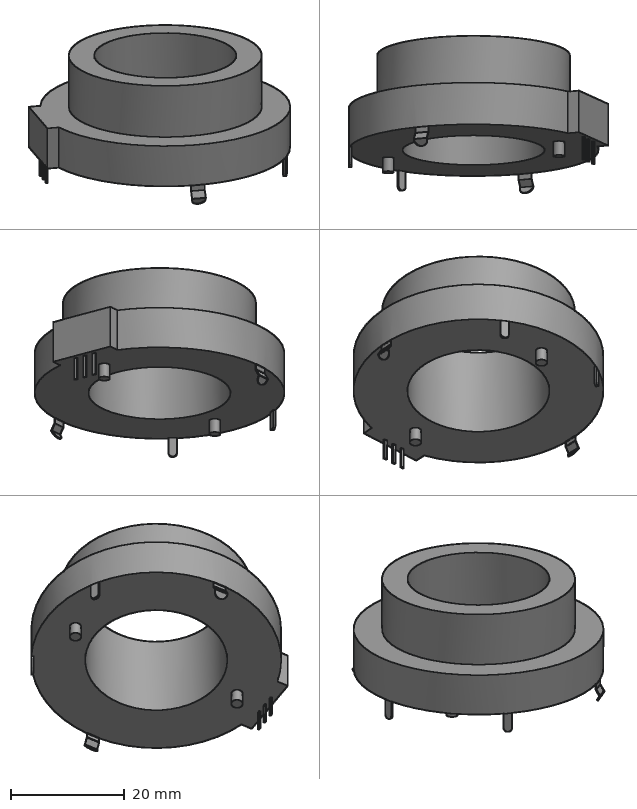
import cadquery as cq
import math

base_diameter = 44.0
base_height = 7.5
collar_diameter = 34.0
collar_height = 9.5
bore_diameter = 25.0
key_width = 12.5
key_front_y = -23.2

peg_diameter = 2.0
peg_length = 2.5
peg_circle_radius = 16.5

pin_width = 0.6
pin_thickness = 0.3
pin_length = 4.0
pin_pitch = 2.0
pin_count = 3
pin_setback = 1.0

leg_length = 3.5
clip_width = 2.5
clip_thickness = 0.2
clip_reach = 0.75
clip_straight = 1.0
clip_corner_radius = 1.2
clip_angles = (0, 180)

tab_width = 1.5
tab_thickness = 0.4
tab_corner_radius = 0.7
tab_angles = (60, 120)

base_radius = base_diameter / 2
total_height = base_height + collar_height


def make_housing():
    """Base disc with a square front key, a raised collar and a through bore."""
    base = cq.Workplane("XY").circle(base_radius).extrude(base_height)
    key_depth = -key_front_y
    key = (
        cq.Workplane("XY")
        .center(0, -key_depth / 2)
        .rect(key_width, key_depth)
        .extrude(base_height)
    )
    collar = cq.Workplane("XY").circle(collar_diameter / 2).extrude(total_height)
    bore = cq.Workplane("XY").circle(bore_diameter / 2).extrude(total_height)
    return base.union(key).union(collar).cut(bore)


def make_pegs():
    """Two round pegs on the Y axis, one on each side of the bore."""
    return (
        cq.Workplane("XY")
        .pushPoints([(0, peg_circle_radius), (0, -peg_circle_radius)])
        .circle(peg_diameter / 2)
        .extrude(-peg_length)
    )


def make_pins():
    """Row of flat terminal pins along the front key."""
    return (
        cq.Workplane("XY")
        .center(0, key_front_y + pin_setback)
        .rarray(pin_pitch, 1, pin_count, 1)
        .rect(pin_width, pin_thickness)
        .extrude(-pin_length)
    )


def make_clip():
    """Strip at +X that bends outward to a knee and back in, with a rounded tip."""
    outer_x = base_radius
    inner_x = base_radius - clip_thickness
    knee_x = base_radius + clip_reach
    knee_z = -(clip_straight + leg_length) / 2
    slope = math.atan2(clip_reach, -clip_straight - knee_z)
    inner_bend_z = -clip_straight - clip_thickness * math.tan(slope / 2)
    inner_knee_x = knee_x - clip_thickness / math.cos(slope)
    inner_tip_x = outer_x - clip_thickness * math.cos(slope)
    inner_tip_z = -leg_length + clip_thickness * math.sin(slope)
    strip = (
        cq.Workplane("XZ")
        .moveTo(outer_x, 0)
        .lineTo(outer_x, -clip_straight)
        .lineTo(knee_x, knee_z)
        .lineTo(outer_x, -leg_length)
        .lineTo(inner_tip_x, inner_tip_z)
        .lineTo(inner_knee_x, knee_z)
        .lineTo(inner_x, inner_bend_z)
        .lineTo(inner_x, 0)
        .close()
        .extrude(clip_width / 2, both=True)
    )
    return strip.faces("<Z").edges("not |Y").fillet(clip_corner_radius)


def make_tab():
    """Straight flat tab at +X, flush with the rim, with rounded tip corners."""
    return (
        cq.Workplane("YZ", origin=(base_radius - tab_thickness, 0, 0))
        .center(0, -leg_length / 2)
        .rect(tab_width, leg_length)
        .extrude(tab_thickness)
        .edges("|X and <Z")
        .fillet(tab_corner_radius)
    )


def around_axis(shape, angle):
    """Turn a shape about the bore axis."""
    return shape.rotate((0, 0, 0), (0, 0, 1), angle)


result = make_housing().union(make_pegs()).union(make_pins())
for clip_angle in clip_angles:
    result = result.union(around_axis(make_clip(), clip_angle))
for tab_angle in tab_angles:
    result = result.union(around_axis(make_tab(), tab_angle))